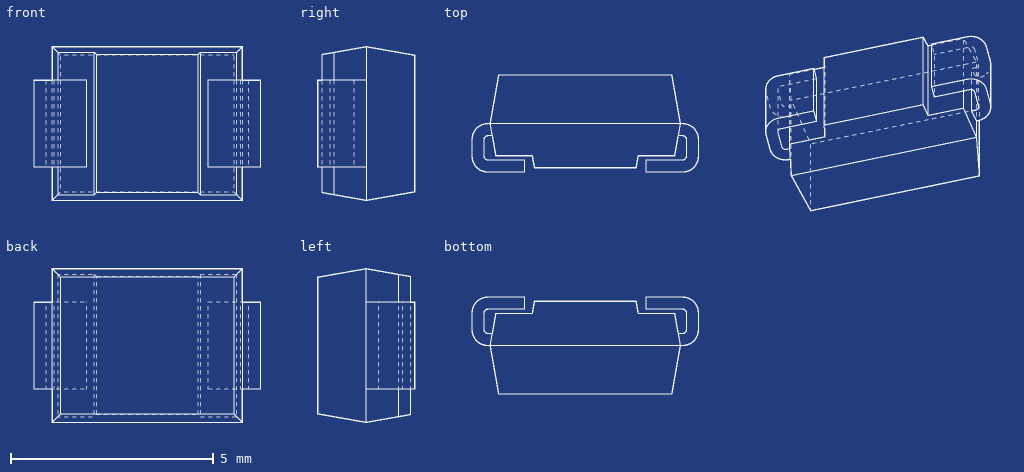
import cadquery as cq
import math

body_length = 4.705
body_height = 3.8
draft_angle = 10
back_depth = 1.2
shoulder_depth = 0.8
pad_depth = 1.1
pad_length = 2.62

overall_length = 5.6
lead_depth = 1.205
lead_thickness = 0.3
lead_height = 2.15
foot_length = 1.305
outer_bend_radius = 0.4
inner_bend_radius = outer_bend_radius - lead_thickness
arm_embed = 0.17


def drafted_block(length, height, start_y, depth, direction):
    """Rectangular block growing along Y from start_y, narrowing with the draft."""
    plane = cq.Plane(origin=(0, start_y, 0), xDir=(1, 0, 0), normal=(0, direction, 0))
    return cq.Workplane(plane).rect(length, height).extrude(depth, taper=draft_angle)


def make_body():
    back = drafted_block(body_length, body_height, 0, back_depth, 1)
    front = drafted_block(body_length, body_height, 0, shoulder_depth, -1)
    pad_height = body_height - 2 * shoulder_depth * math.tan(math.radians(draft_angle))
    pad = drafted_block(pad_length, pad_height, -shoulder_depth, pad_depth - shoulder_depth, -1)
    return back.union(front).union(pad)


def lead_block(x_min, x_max, y_min, y_max, bend_radius):
    """Upright block with its two outboard (-X) vertical edges rounded."""
    block = cq.Workplane("XY").box(x_max - x_min, y_max - y_min, lead_height)
    block = block.edges("|Z and <X").fillet(bend_radius)
    return block.translate(((x_min + x_max) / 2, (y_min + y_max) / 2, 0))


def make_left_lead():
    outer_x = -overall_length / 2
    foot_end_x = outer_x + foot_length
    arm_end_x = -body_length / 2 + arm_embed
    outer = lead_block(outer_x, foot_end_x, -lead_depth, 0, outer_bend_radius)
    inner = lead_block(
        outer_x + lead_thickness,
        foot_end_x,
        lead_thickness - lead_depth,
        -lead_thickness,
        inner_bend_radius,
    )
    arm_trim = (
        cq.Workplane("XY")
        .box(foot_end_x - arm_end_x, lead_thickness, lead_height, centered=(False, False, True))
        .translate((arm_end_x, -lead_thickness, 0))
    )
    return outer.cut(inner).cut(arm_trim)


left_lead = make_left_lead()
right_lead = left_lead.mirror("YZ")
result = make_body().union(left_lead).union(right_lead)